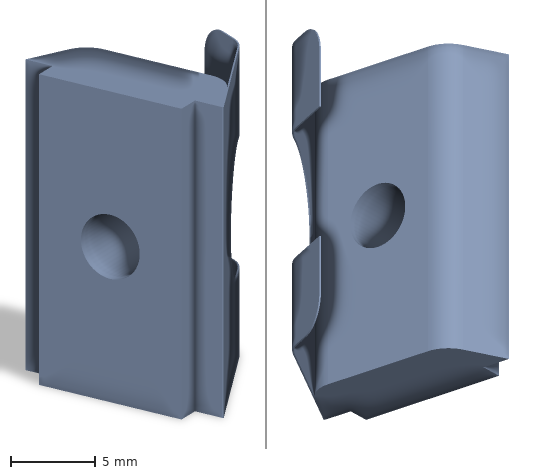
import cadquery as cq
import math

length = 20.0
base_width = 10.0
flange_half_width = 6.9
base_height = 1.5
body_height = 5.3
crown_radius = 2.0
hole_diameter = 4.13

strip_thickness = 0.1
strip_top = 12.31
strip_tip_x = -1.05
bend_inner_radius = 2.0
tip_corner_radius = 2.0
notch_radius = 4.25
notch_floor = 5.41

lean = math.atan(0.5)


def make_body():
    """Trapezoidal bar with a narrower base and rounded crown edges."""
    crown_half_width = flange_half_width - (body_height - base_height) * math.tan(lean)
    base_half_width = base_width / 2
    bar = (
        cq.Workplane("XY")
        .workplane(offset=-length / 2)
        .polyline([
            (-base_half_width, 0),
            (base_half_width, 0),
            (base_half_width, base_height),
            (flange_half_width, base_height),
            (crown_half_width, body_height),
            (-crown_half_width, body_height),
            (-flange_half_width, base_height),
            (-base_half_width, base_height),
        ])
        .close()
        .extrude(length)
    )
    crown_edges = bar.faces(">Y").edges("|Z")
    return bar.newObject(crown_edges.vals()).fillet(crown_radius)


def strip_corner():
    """Sharp corner where the outer faces of the two strip leaves would meet."""
    slope = math.tan(lean)
    shoulder_x = flange_half_width + strip_thickness / math.cos(lean)
    x = (shoulder_x - slope * (strip_top + slope * strip_tip_x - base_height)) / (1 - slope**2)
    y = strip_top - slope * (x - strip_tip_x)
    return x, y


def make_strip():
    """Thin bent strip from the flange edge up to the rounded tip."""
    corner_x, corner_y = strip_corner()
    foot_x = flange_half_width + strip_thickness * math.cos(lean)
    foot_y = base_height + strip_thickness * math.sin(lean)
    inset = strip_thickness / (math.cos(lean) + math.sin(lean))
    tip_inner_x = strip_tip_x - strip_thickness * math.sin(lean)
    tip_inner_y = strip_top - strip_thickness * math.cos(lean)
    strip = (
        cq.Workplane("XY")
        .workplane(offset=-length / 2)
        .polyline([
            (flange_half_width, base_height),
            (foot_x, foot_y),
            (corner_x, corner_y),
            (strip_tip_x, strip_top),
            (tip_inner_x, tip_inner_y),
            (corner_x - inset, corner_y - inset),
        ])
        .close()
        .extrude(length)
    )
    outer_bend = cq.selectors.NearestToPointSelector((corner_x, corner_y, 0))
    inner_bend = cq.selectors.NearestToPointSelector((corner_x - inset, corner_y - inset, 0))
    strip = strip.edges("|Z").edges(outer_bend).fillet(bend_inner_radius + strip_thickness)
    strip = strip.edges("|Z").edges(inner_bend).fillet(bend_inner_radius)
    tip_face = cq.selectors.NearestToPointSelector((strip_tip_x, strip_top, 0))
    tip_corners = strip.faces(tip_face).edges("not |Z")
    return strip.newObject(tip_corners.vals()).fillet(tip_corner_radius)


def make_notch():
    """Round-bottomed cutter along X, open towards the tip; its floor is a circle on the sloping leaf."""
    floor_depth = notch_radius * math.cos(lean)
    centre_y = notch_floor + floor_depth
    open_height = strip_top - centre_y
    plane = cq.Plane(origin=(0, centre_y, 0), xDir=(0, 1, 0), normal=(1, 0, 0))
    reach = 2 * flange_half_width
    floor = cq.Workplane(plane).ellipse(floor_depth, notch_radius).extrude(reach, both=True)
    opening = (
        cq.Workplane(plane)
        .center(open_height / 2, 0)
        .rect(open_height, 2 * notch_radius)
        .extrude(reach, both=True)
    )
    return floor.union(opening)


def make_hole():
    """Screw hole through the middle of the body, along Y."""
    return cq.Workplane("XZ").circle(hole_diameter / 2).extrude(-body_height)


spring = make_strip().cut(make_notch())
result = make_body().cut(make_hole()).union(spring)